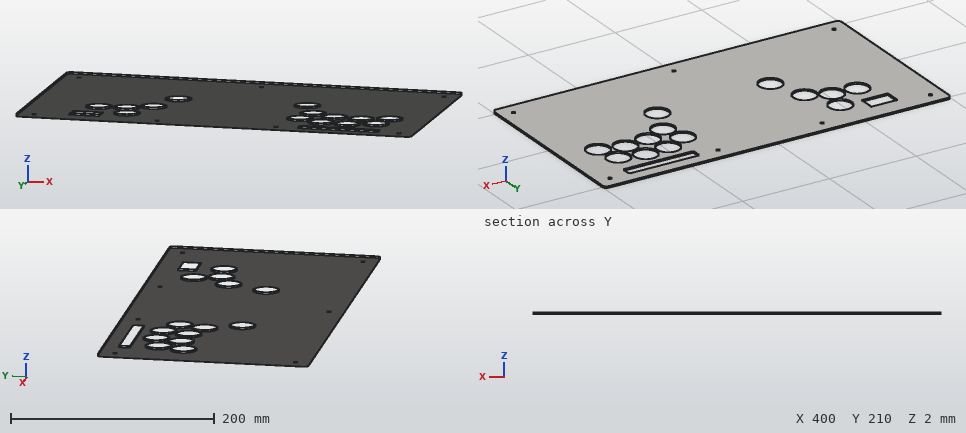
import cadquery as cq

length = 400.0
width = 210.0
thickness = 2.0
corner_radius = 5.0

screw_diameter = 3.4
screw_edge_inset = 15.0
screw_x = length / 2 - screw_edge_inset
screw_y = width / 2 - screw_edge_inset
rear_inner_screw_x = 60.0
screw_centers = [(x, screw_y) for x in (-screw_x, -rear_inner_screw_x, rear_inner_screw_x, screw_x)]
screw_centers += [(x, -screw_y) for x in (-screw_x, 0, screw_x)]

button_diameter = 26.0
thumb_x = 65.0
thumb_y = -15.0
thumb_centers = [(-thumb_x, thumb_y), (thumb_x, thumb_y)]
direction_centers = [(-132.0, 39.0), (-104.5, 36.5), (-80.0, 25.0), (-97.5, 63.0)]
upper_action_centers = [(73.0, 45.5), (97.5, 57.5), (125.0, 59.5), (152.0, 52.5)]
lower_action_centers = [(80.0, 19.5), (104.5, 31.0), (132.0, 33.5), (159.0, 26.5)]
button_centers = thumb_centers + direction_centers + upper_action_centers + lower_action_centers

window_length = 30.0
window_width = 18.0
window_center = (-136.0, 74.0)

slot_length = 81.0
slot_width = 11.5
slot_corner_radius = 2.0
slot_center = (122.5, 85.0)


def through_holes(centers, diameter):
    """Cylinders that cut fully through the panel at each center."""
    return cq.Workplane("XY").pushPoints(centers).circle(diameter / 2).extrude(thickness)


def rectangular_block(center, block_length, block_width):
    """Block as thick as the panel, centered on the given point."""
    return cq.Workplane("XY").center(*center).rect(block_length, block_width).extrude(thickness)


panel = rectangular_block((0, 0), length, width).edges("|Z").fillet(corner_radius)
window = rectangular_block(window_center, window_length, window_width)
slot = rectangular_block(slot_center, slot_length, slot_width).edges("|Z").fillet(slot_corner_radius)

result = (
    panel.cut(through_holes(screw_centers, screw_diameter))
    .cut(through_holes(button_centers, button_diameter))
    .cut(window)
    .cut(slot)
)